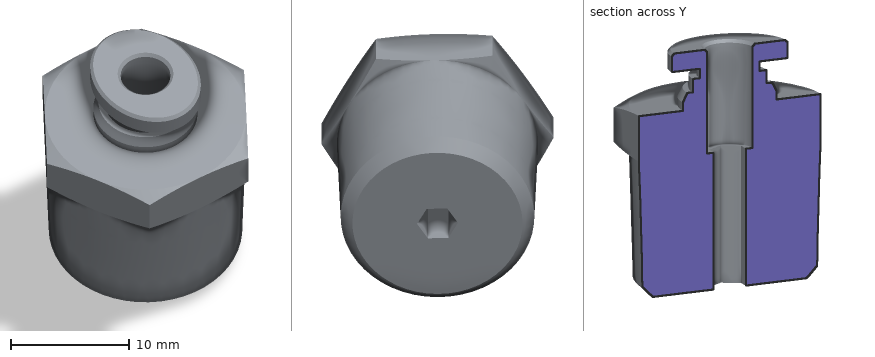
import cadquery as cq
import math

TOTAL_HEIGHT = 21.1
LEAD_CHAMFER = 1.0
HEX_BOTTOM = 12.0
HEX_TOP = 16.0
COLLAR_EDGE = 16.71
COLLAR_TOP = 17.51
SLEEVE_TOP = 18.67
CAP_BOTTOM = 19.45

HEX_FLATS = 17.0
HEX_CORNERS = HEX_FLATS / math.cos(math.pi / 6)
HEX_CORNER_DROP = 0.49
SHANK_TOP_DIAMETER = HEX_FLATS
SHANK_BOTTOM_DIAMETER = 16.35

COLLAR_DIAMETER = 8.8
COLLAR_TOP_DIAMETER = 7.95
SLEEVE_DIAMETER = 6.95
NECK_DIAMETER = 5.61

CAP_LENGTH = 10.85
CAP_WIDTH = 8.7
CAP_CHAMFER = 0.25

BORE_DIAMETER = 4.2
BORE_CHAMFER = 0.25
BORE_FLOOR = HEX_BOTTOM
SOCKET_FLATS = 3.0
SOCKET_CORNERS = SOCKET_FLATS / math.cos(math.pi / 6)


def revolved(profile):
    """Turn (radius, height) points, closed along the Z axis, into a solid."""
    outline = [(0, profile[0][1])] + profile + [(0, profile[-1][1])]
    return cq.Workplane("YZ").polyline(outline).close().revolve(360, (0, 0), (0, 1))


def hex_prism(corner_diameter, bottom, top):
    """Hexagonal prism with corners on the Y axis and flats facing X."""
    return (
        cq.Workplane("XY", origin=(0, 0, bottom))
        .transformed(rotate=(0, 0, 90))
        .polygon(6, corner_diameter)
        .extrude(top - bottom)
    )


def make_shank():
    bottom_radius = SHANK_BOTTOM_DIAMETER / 2
    return revolved([
        (bottom_radius - LEAD_CHAMFER, 0),
        (bottom_radius, LEAD_CHAMFER),
        (SHANK_TOP_DIAMETER / 2, HEX_BOTTOM),
    ])


def make_nut():
    flat_radius = HEX_FLATS / 2
    corner_radius = HEX_CORNERS / 2
    corner_trim = revolved([
        (flat_radius, HEX_BOTTOM),
        (corner_radius, HEX_BOTTOM + HEX_CORNER_DROP),
        (corner_radius, HEX_TOP - HEX_CORNER_DROP),
        (flat_radius, HEX_TOP),
    ])
    return hex_prism(HEX_CORNERS, HEX_BOTTOM, HEX_TOP).intersect(corner_trim)


def make_sleeve():
    return revolved([
        (COLLAR_DIAMETER / 2, HEX_TOP),
        (COLLAR_DIAMETER / 2, COLLAR_EDGE),
        (COLLAR_TOP_DIAMETER / 2, COLLAR_TOP),
        (SLEEVE_DIAMETER / 2, COLLAR_TOP),
        (SLEEVE_DIAMETER / 2, SLEEVE_TOP),
        (NECK_DIAMETER / 2, SLEEVE_TOP),
        (NECK_DIAMETER / 2, CAP_BOTTOM),
    ])


def make_cap():
    return (
        cq.Workplane("XY", origin=(0, 0, CAP_BOTTOM))
        .ellipse(CAP_LENGTH / 2, CAP_WIDTH / 2)
        .extrude(TOTAL_HEIGHT - CAP_BOTTOM)
        .faces(">Z")
        .chamfer(CAP_CHAMFER)
    )


def make_bore():
    bore_radius = BORE_DIAMETER / 2
    return revolved([
        (bore_radius, BORE_FLOOR),
        (bore_radius, TOTAL_HEIGHT - BORE_CHAMFER),
        (bore_radius + BORE_CHAMFER, TOTAL_HEIGHT),
    ])


body = make_shank().union(make_nut()).union(make_sleeve()).union(make_cap())
socket = hex_prism(SOCKET_CORNERS, 0, BORE_FLOOR)
result = body.cut(make_bore()).cut(socket)